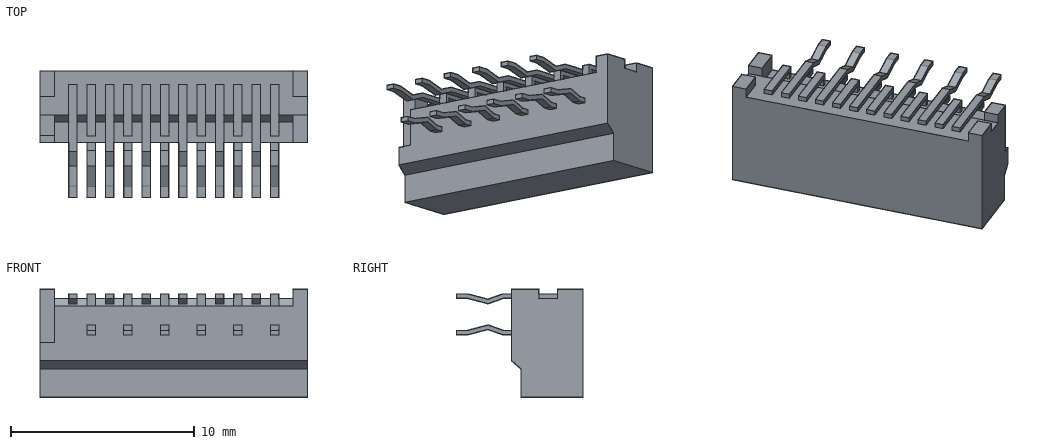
import cadquery as cq

body_width = 14.6
body_depth = 3.91
body_height = 5.9
chamfer_top = 2.0
chamfer_bottom = 1.53
foot_setback = 0.53

end_wall = 0.8
floor_drop = 0.51
ledge_drop = 0.92
ramp_back = 1.5
ramp_front = 1.11

slot_width = 1.01

recess_depth = 0.4
recess_height = 2.9

lead_count = 12
lead_span = 11.0
lead_width = 0.47
lead_thickness = 0.25
lead_rear = 3.17
leg_front = 0.35
lower_lead_base = 3.4
lead_length = 3.0
bend_start = 0.45
bend_peak = 1.27
bend_end = 2.38
bend_height = 0.29

floor_z = body_height - floor_drop
ledge_z = body_height - ledge_drop
lead_pitch = lead_span / (lead_count - 1)


def extrude_profile(points, center_x, width):
    """Extrude a (Y, Z) outline symmetrically about the plane X = center_x."""
    plane = cq.Workplane("YZ", origin=(center_x, 0, 0))
    return plane.polyline(points).close().extrude(width / 2, both=True)


def make_housing():
    outline = [
        (0, body_height),
        (0, chamfer_top),
        (foot_setback, chamfer_bottom),
        (foot_setback, 0),
        (body_depth, 0),
        (body_depth, body_height),
    ]
    return extrude_profile(outline, 0, body_width)


def make_top_opening():
    outline = [
        (0, body_height),
        (0, ledge_z),
        (ramp_front, ledge_z),
        (ramp_back, floor_z),
        (body_depth, floor_z),
        (body_depth, body_height),
    ]
    return extrude_profile(outline, 0, body_width - 2 * end_wall)


def make_end_slot():
    slot = cq.Workplane("XY").box(body_width, slot_width, floor_drop, centered=(True, False, False))
    return slot.translate((0, ramp_back, floor_z))


def make_key_recess():
    recess = cq.Workplane("XY").box(end_wall, recess_depth, recess_height, centered=False)
    return recess.translate((-body_width / 2, 0, body_height - recess_height))


def make_bent_lead(x, rear, base_z, bend):
    """Strip running from rear to the tip, its middle displaced by bend in Z."""
    z = base_z + lead_thickness / 2
    path = cq.Workplane("YZ", origin=(x, 0, 0)).polyline([
        (rear, z),
        (-bend_start, z),
        (-bend_peak, z + bend),
        (-bend_end, z),
        (-lead_length, z),
    ])
    section = cq.Workplane("XZ", origin=(x, rear, z)).rect(lead_width, lead_thickness)
    return section.sweep(path, transition="right")


def make_upper_lead(x):
    return make_bent_lead(x, lead_rear, floor_z, -bend_height)


def make_lower_lead(x):
    """Strip on the floor with a leg down into the ledge, emerging lower at the front."""
    top_z = floor_z + lead_thickness
    leg_back = leg_front + lead_thickness
    hook = [
        (lead_rear, floor_z),
        (lead_rear, top_z),
        (leg_front, top_z),
        (leg_front, lower_lead_base),
        (leg_back, lower_lead_base),
        (leg_back, floor_z),
    ]
    tail = make_bent_lead(x, leg_back, lower_lead_base, bend_height)
    return extrude_profile(hook, x, lead_width).union(tail)


result = make_housing().cut(make_top_opening()).cut(make_end_slot()).cut(make_key_recess())

for index in range(lead_count):
    lead_x = -lead_span / 2 + index * lead_pitch
    if index % 2 == 0:
        lead = make_upper_lead(lead_x)
    else:
        lead = make_lower_lead(lead_x)
    result = result.union(lead)